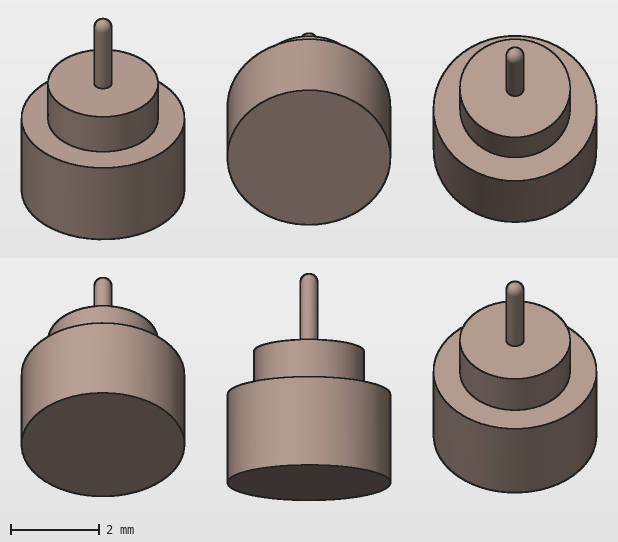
import cadquery as cq

base_diameter = 3.7
base_height = 2.05
collar_diameter = 2.5
collar_height = 1.0
insulator_diameter = 1.95
pin_diameter = 0.4
pin_length = 1.8

collar_top = base_height + collar_height
pin_radius = pin_diameter / 2


def cylinder(diameter, height, bottom):
    """Upright cylinder on the Z axis, starting at height `bottom`."""
    return cq.Workplane("XY").workplane(offset=bottom).circle(diameter / 2).extrude(height)


def make_shell():
    """Stepped body with a blind bore in the collar for the insulator."""
    base = cylinder(base_diameter, base_height, 0)
    collar = cylinder(collar_diameter, collar_height, base_height)
    bore = cylinder(insulator_diameter, collar_height, base_height)
    return base.union(collar).cut(bore)


def make_insulator():
    """Disc that fills the bore flush with the collar face."""
    return cylinder(insulator_diameter, collar_height, base_height)


def make_pin():
    """Contact pin with a hemispherical tip."""
    shank_length = pin_length - pin_radius
    shank = cylinder(pin_diameter, shank_length, collar_top)
    tip = cq.Workplane("XY").sphere(pin_radius).translate((0, 0, collar_top + shank_length))
    return shank.union(tip)


result = make_shell().union(make_insulator(), clean=False).union(make_pin(), clean=False)